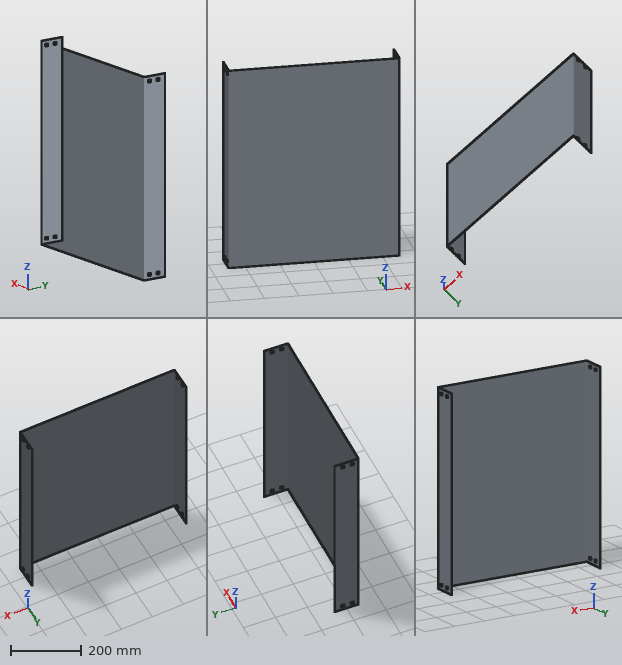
import cadquery as cq

width = 497.5
depth = 74.35
height = 600.0

thickness = 0.8
inner_bend_radius = 0.2
outer_bend_radius = inner_bend_radius + thickness

slot_length = 10.0
slot_width = 7.0
front_slot_offset = 19.35
slot_spacing = 29.7
slot_from_end = 15.0

slot_y_positions = [front_slot_offset, front_slot_offset + slot_spacing]
slot_z = height / 2 - slot_from_end


def front_rounded_block(block_width, radius):
    """Full-depth block whose two upright front edges are rounded."""
    return (
        cq.Workplane("XY")
        .box(block_width, depth, height, centered=(True, False, True))
        .edges("|Z and <Y")
        .fillet(radius)
    )


def bent_sheet():
    """U-shaped panel: a broad front face with two flanges folded back along +Y."""
    outer = front_rounded_block(width, outer_bend_radius)
    inner = front_rounded_block(width - 2 * thickness, inner_bend_radius)
    return outer.cut(inner.translate((0, thickness, 0)))


def flange_slots():
    """Cutters along X through both flanges: a pair of slots in line along Y at each end."""
    centres = [(y, z) for y in slot_y_positions for z in (-slot_z, slot_z)]
    return (
        cq.Workplane("YZ")
        .pushPoints(centres)
        .slot2D(slot_length, slot_width)
        .extrude(width / 2, both=True)
    )


result = bent_sheet().cut(flange_slots())